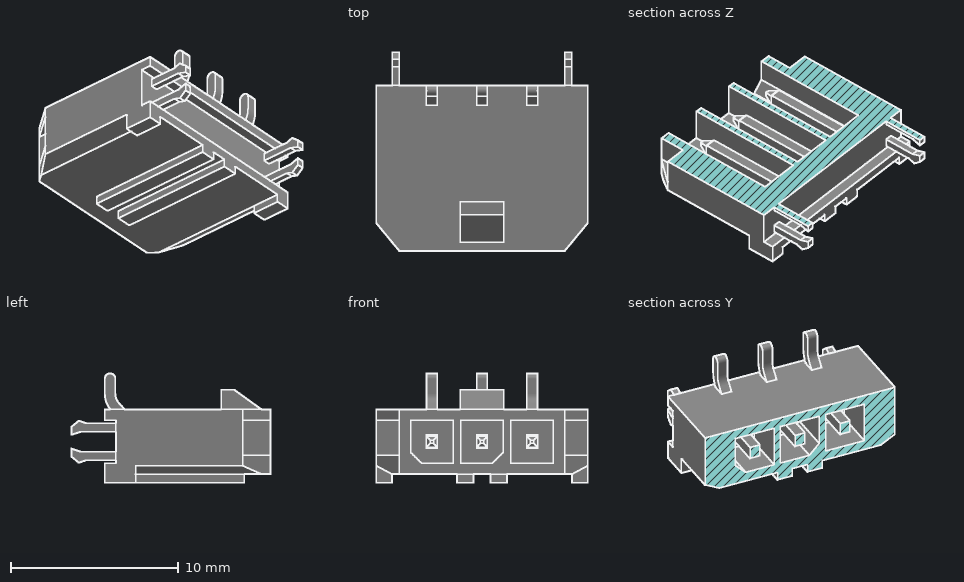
import cadquery as cq
import math


width = 12.65
depth = 9.92
height = 3.88
corner_x = 1.38
corner_y = 1.67
wall = 0.66

corner_pocket_bottom = 1.13
corner_pocket_top = height - wall

foot_drop = 0.52
foot_width = 0.95
foot_front = 8.07
bevel_height = 0.5
rib_width = 1.0
rib_center_x = 1.0
rib_front = 1.57

pitch = 3.0
cavity_width = 2.55
cavity_height = height - 2 * wall
cavity_depth = 7.59
key_chamfer = 0.66
mid_z = height / 2

pin_width = 0.66
pin_front = 1.52
pin_height = 0.81
pin_edge_radius = 0.05
pin_taper = 0.63
pin_taper_height = 0.66
pin_tip_width = 0.2

tail_thickness = 0.65
tail_top = 6.03
tail_bend_z = 4.81
tail_bend_radius = 0.82
tail_bend_angle = math.radians(42)
tail_embedded_length = 0.57

latch_width = 2.63
latch_top = 5.06
latch_front = 0.55
latch_crest = 2.18
latch_back = 2.95

notch_depth = 0.67
clip_thickness = 0.44
clip_center_x = 5.16
clip_inner = 0.6
clip_outer = 1.11
clip_barb = 1.26
clip_end_inner = 0.4
clip_end_outer = 0.9
clip_inner_bend_y = 11.33
clip_outer_bend_y = 11.03
clip_barb_y = 11.46
clip_end_y = 11.9

sides = (-1, 1)
contact_places = (-pitch, 0, pitch)


def block(x_range, y_range, z_range):
    """Box between the given limits on each axis."""
    (x0, x1), (y0, y1), (z0, z1) = x_range, y_range, z_range
    return cq.Workplane("XY").box(x1 - x0, y1 - y0, z1 - z0, centered=False).translate((x0, y0, z0))


def side_plate(center_x, thickness, points):
    """Plate of a (y, z) outline, centred on a given x."""
    plane = cq.Workplane("YZ", origin=(center_x, 0, 0))
    return plane.polyline(points).close().extrude(thickness / 2, both=True)


def housing():
    """Block with cut front corners, corner openings, lower bevels and a rear notch."""
    half = width / 2
    outline = [
        (-half, depth),
        (-half, corner_y),
        (-half + corner_x, 0),
        (half - corner_x, 0),
        (half, corner_y),
        (half, depth),
    ]
    body = cq.Workplane("XY").polyline(outline).close().extrude(height)
    for side in sides:
        outer_x, inner_x = side * half, side * (half - corner_x)
        body = body.cut(
            block(
                (min(outer_x, inner_x), max(outer_x, inner_x)),
                (0, corner_y),
                (corner_pocket_bottom, corner_pocket_top),
            )
        )
        bevel = [(outer_x, 0), (outer_x, bevel_height), (side * (half - foot_width), 0)]
        body = body.cut(cq.Workplane("XZ").polyline(bevel).close().extrude(-foot_front))
    notch = block((-half, half), (depth - notch_depth, depth), (wall, height - wall))
    return body.cut(notch)


def supports():
    """Corner feet at the back and two long ribs under the middle."""
    pieces = []
    for side in sides:
        foot = (side * (width - foot_width) / 2, foot_width, foot_front)
        rib = (side * rib_center_x, rib_width, rib_front)
        for center_x, size_x, front in (foot, rib):
            x_range = (center_x - size_x / 2, center_x + size_x / 2)
            pieces.append(block(x_range, (front, depth), (-foot_drop, wall)))
    return pieces


def cavity(center_x, keyed_side):
    """Contact cavity; keyed_side -1 or 1 bevels that lower corner, 0 leaves it square."""
    half = cavity_width / 2
    limits = (center_x - half, center_x + half)
    bottom = wall
    shape = block(limits, (0, cavity_depth), (bottom, bottom + cavity_height))
    if keyed_side:
        edge_x = center_x + keyed_side * half
        key = [
            (edge_x, bottom),
            (edge_x, bottom + key_chamfer),
            (edge_x - keyed_side * key_chamfer, bottom),
        ]
        shape = shape.cut(cq.Workplane("XZ").polyline(key).close().extrude(-cavity_depth))
    return shape


def pin(center_x):
    """Contact pin from the cavity floor: round-edged shaft with a blunt pyramid tip."""
    shoulder_y = pin_front + pin_taper
    shaft = (
        cq.Workplane("XZ", origin=(center_x, shoulder_y, mid_z))
        .rect(pin_width, pin_height)
        .extrude(shoulder_y - cavity_depth)
        .faces("<Y")
        .edges("|X")
        .fillet(pin_edge_radius)
    )
    tip = (
        cq.Workplane("XZ", origin=(center_x, shoulder_y, mid_z))
        .rect(pin_width, pin_taper_height)
        .workplane(offset=pin_taper)
        .rect(pin_tip_width, pin_tip_width)
        .loft()
    )
    return shaft.union(tip)


def tail(center_x):
    """Upright round-ended contact tail that bends forward into the housing."""
    back_y, front_y = depth, depth - tail_thickness
    center_y = front_y - tail_bend_radius
    outer_radius = tail_bend_radius + tail_thickness
    tip_radius = tail_thickness / 2
    tip_z = tail_top - tip_radius

    def bend_point(radius, angle):
        return (center_y + radius * math.cos(angle), tail_bend_z - radius * math.sin(angle))

    def embedded_point(radius):
        y, z = bend_point(radius, tail_bend_angle)
        run = tail_embedded_length
        return (y - run * math.sin(tail_bend_angle), z - run * math.cos(tail_bend_angle))

    half_angle = tail_bend_angle / 2
    return (
        cq.Workplane("YZ", origin=(center_x, 0, 0))
        .moveTo(back_y, tail_bend_z)
        .lineTo(back_y, tip_z)
        .threePointArc((back_y - tip_radius, tail_top), (front_y, tip_z))
        .lineTo(front_y, tail_bend_z)
        .threePointArc(bend_point(tail_bend_radius, half_angle), bend_point(tail_bend_radius, tail_bend_angle))
        .lineTo(*embedded_point(tail_bend_radius))
        .lineTo(*embedded_point(outer_radius))
        .lineTo(*bend_point(outer_radius, tail_bend_angle))
        .threePointArc(bend_point(outer_radius, half_angle), (back_y, tail_bend_z))
        .close()
        .extrude(pin_width / 2, both=True)
    )


def latch():
    """Wedge that rises from the front to a flat crest with an upright back."""
    outline = [
        (latch_front, height),
        (latch_crest, latch_top),
        (latch_back, latch_top),
        (latch_back, height),
    ]
    return side_plate(0, latch_width, outline)


def clip_prong(center_x, direction):
    """Barbed prong above (direction 1) or below (-1) mid height."""
    root_y = depth - notch_depth
    profile = [
        (root_y, clip_inner),
        (root_y, clip_outer),
        (clip_outer_bend_y, clip_outer),
        (clip_barb_y, clip_barb),
        (clip_end_y, clip_end_outer),
        (clip_end_y, clip_end_inner),
        (clip_inner_bend_y, clip_inner),
    ]
    return side_plate(center_x, clip_thickness, [(y, mid_z + direction * offset) for y, offset in profile])


result = housing()
for piece in supports():
    result = result.union(piece)
for place, keyed_side in zip(contact_places, (-1, 1, 0)):
    result = result.cut(cavity(place, keyed_side))
    result = result.union(pin(place))
    result = result.union(tail(place))
result = result.union(latch())
for side in sides:
    for direction in (-1, 1):
        result = result.union(clip_prong(side * clip_center_x, direction))